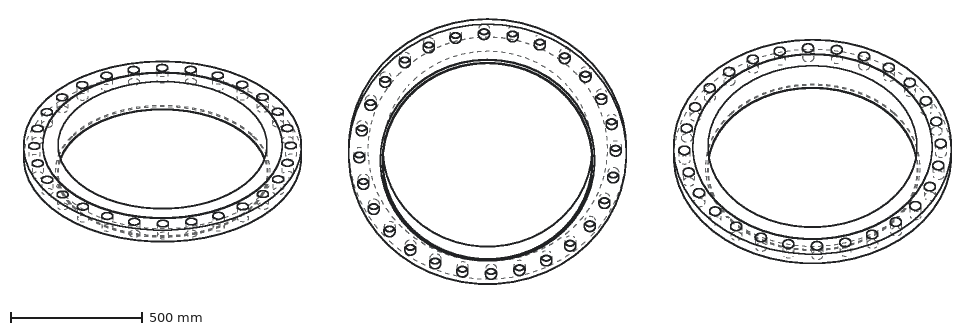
import cadquery as cq

flange_diameter = 1060.0
flange_bottom = 75.0
flange_top = 131.0

raised_face_diameter = 914.0
total_height = 135.0

hub_top_diameter = 887.0
hub_fillet_radius = 11.0
neck_diameter = 819.0
neck_top = 14.0
weld_bevel_height = 7.0
weld_end_diameter = 804.0

bore_diameter = 797.0

bolt_count = 28
bolt_circle_diameter = 978.0
bolt_hole_diameter = 42.0


def make_flange_body():
    """Revolve the half section of the ring about the Z axis and round the root of the hub."""
    section = (
        cq.Workplane("XZ")
        .moveTo(bore_diameter / 2, 0)
        .lineTo(weld_end_diameter / 2, 0)
        .lineTo(neck_diameter / 2, weld_bevel_height)
        .lineTo(neck_diameter / 2, neck_top)
        .lineTo(hub_top_diameter / 2, flange_bottom)
        .lineTo(flange_diameter / 2, flange_bottom)
        .lineTo(flange_diameter / 2, flange_top)
        .lineTo(raised_face_diameter / 2, flange_top)
        .lineTo(raised_face_diameter / 2, total_height)
        .lineTo(bore_diameter / 2, total_height)
        .close()
    )
    body = section.revolve(360, (0, 0, 0), (0, 1, 0))
    hub_root = cq.selectors.RadiusNthSelector(-3)
    return body.edges("%CIRCLE").edges(hub_root).fillet(hub_fillet_radius)


def make_bolt_holes():
    """Cylinders through the flange plate, evenly spaced on the bolt circle."""
    return (
        cq.Workplane("XY")
        .polarArray(bolt_circle_diameter / 2, 0, 360, bolt_count)
        .circle(bolt_hole_diameter / 2)
        .extrude(total_height)
    )


result = make_flange_body().cut(make_bolt_holes())